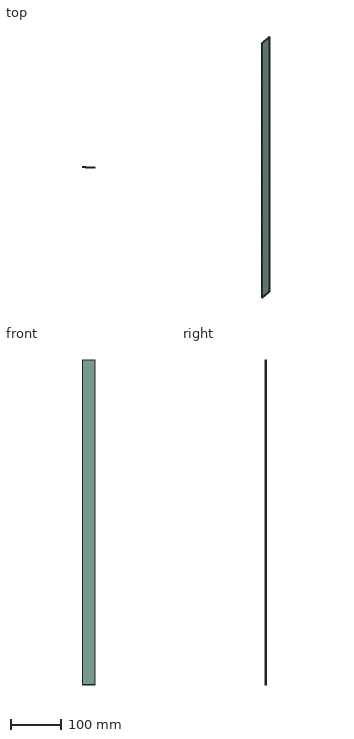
import cadquery as cq

width = 25.0
thickness = 2.0
length = 649.0
tilt_angle = -1.93


def tilted_slat():
    """Plain rectangular slat centred on the origin and turned about Z."""
    slat = cq.Workplane("XY").box(width, thickness, length)
    return slat.rotate((0, 0, 0), (0, 0, 1), tilt_angle)


result = tilted_slat()